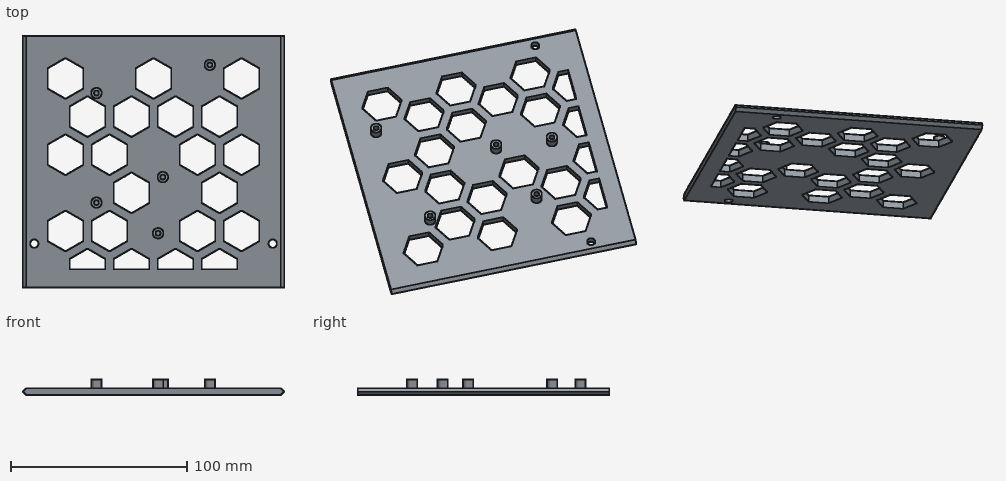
import cadquery as cq
import math

plate_width = 148.6
plate_length = 142.85
plate_thickness = 4.0
edge_bevel = plate_thickness / 2

hex_across_flats = 20.0
hex_gap = 5.0
hex_pitch = hex_across_flats + hex_gap
row_pitch = hex_pitch * math.sin(math.radians(60))
hex_corner_diameter = hex_across_flats / math.cos(math.radians(30))
first_row_y = 47.3

hex_rows = [
    [-2, 0, 2],
    [-1.5, -0.5, 0.5, 1.5],
    [-2, -1, 1, 2],
    [-0.5, 1.5],
    [-2, -1, 1, 2],
    [-1.5, -0.5, 0.5, 1.5],
]
vent_limit_y = first_row_y - (len(hex_rows) - 1) * row_pitch

standoff_diameter = 6.0
standoff_height = 5.0
screw_hole_diameter = 2.8
standoff_centers = [
    (32.0, 55.0),
    (-32.4, 39.0),
    (5.3, -8.7),
    (-32.4, -23.2),
    (2.6, -40.6),
]

mount_hole_diameter = 4.6
mount_hole_x = 67.7
mount_hole_y = -46.5


def make_plate():
    """Panel profile with V-edges, extruded along Y and resting on Z = 0."""
    tip_x = plate_width / 2
    face_x = tip_x - edge_bevel
    tip_z = plate_thickness / 2
    return (
        cq.Workplane("XZ")
        .polyline([
            (-face_x, 0),
            (face_x, 0),
            (tip_x, tip_z),
            (face_x, plate_thickness),
            (-face_x, plate_thickness),
            (-tip_x, tip_z),
        ])
        .close()
        .extrude(plate_length / 2, both=True)
    )


def hexagon(center_x, center_y):
    """Hexagonal prism as thick as the plate, with corners facing +Y and -Y."""
    return (
        cq.Workplane("XY")
        .polygon(6, hex_corner_diameter)
        .extrude(plate_thickness)
        .rotate((0, 0, 0), (0, 0, 1), 90)
        .translate((center_x, center_y, 0))
    )


def cut_vents(body):
    """Cut the hexagon grid, keeping the plate solid on the -Y side of the limit line."""
    border_length = vent_limit_y + plate_length / 2
    border = (
        cq.Workplane("XY")
        .box(plate_width, border_length, plate_thickness, centered=(True, False, False))
        .translate((0, -plate_length / 2, 0))
    )
    for row, columns in enumerate(hex_rows):
        center_y = first_row_y - row * row_pitch
        for column in columns:
            vent = hexagon(column * hex_pitch, center_y).cut(border)
            body = body.cut(vent)
    return body


def make_standoffs():
    """Standoff tubes standing on the top face."""
    return (
        cq.Workplane("XY", origin=(0, 0, plate_thickness))
        .pushPoints(standoff_centers)
        .circle(standoff_diameter / 2)
        .circle(screw_hole_diameter / 2)
        .extrude(standoff_height)
    )


def cut_mount_holes(body):
    """Drill one mounting hole near each V-edge."""
    holes = (
        cq.Workplane("XY")
        .pushPoints([(-mount_hole_x, mount_hole_y), (mount_hole_x, mount_hole_y)])
        .circle(mount_hole_diameter / 2)
        .extrude(plate_thickness)
    )
    return body.cut(holes)


vented_plate = cut_vents(make_plate())
drilled_plate = cut_mount_holes(vented_plate)
result = drilled_plate.union(make_standoffs())